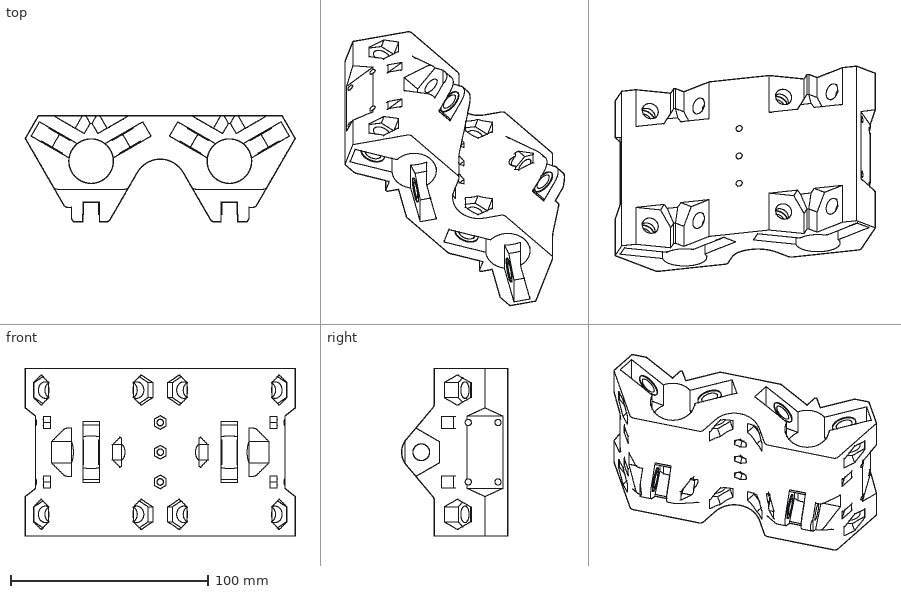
import cadquery as cq
import math


SIN30 = math.sin(math.radians(30))
COS30 = math.cos(math.radians(30))
TAN30 = math.tan(math.radians(30))

width = 137.0
height = 85.0
block_depth = 37.4
total_depth = 54.0
widest_y = -11.6
valley_top_y = -22.2
edge_radius = 2.5

rod_x = 35.0
rod_y = -23.1
rod_diameter = 22.5

pin_radius = 10.0
pin_y = pin_radius - total_depth
lug_root_z = 23.4
lug_root_radius = 3.0

bolt_diameter = 8.4
bolt_distance = 20.7
bolt_z = 31.5
bolt_seat = 10.4
bolt_hex_radius = 7.7
head_hex_radius = 10.7
bearing_hex_radius = 13.8
bearing_slot_width = 8.4
washer_diameter = 12.3
washer_height = 0.4
ridge_y = -4.0
ridge_half_width = 3.3
hex_seat_length = 16.5
lug_seat = 10.0
inner_hex_end_x = 19.6
lug_slot_half_height = 15.5

recess_depth = 5.2
recess_floor_half_height = 18.4
recess_rim_half_height = 22.5
screw_diameter = 3.2
screw_depth = 11.0
screw_z = 15.0
screw_ys = (-5.0, -20.1)
nut_flats = 6.0
nut_radius = nut_flats / 2 / COS30
nut_thickness = 3.5
nut_trap_x = 57.5

reach = 82.2
tolerance = 0.001


def hexagon(radius, center_across=0.0, center_up=0.0):
    """Corners of a hexagon with one corner straight up."""
    angles = [math.radians(30 + 60 * i) for i in range(6)]
    return [(center_across + radius * math.cos(a), center_up + radius * math.sin(a)) for a in angles]


def prism_x(points, x_start, x_end):
    """Prism along X over a (Y, Z) outline."""
    plane = cq.Workplane("YZ", origin=(x_start, 0, 0))
    return plane.polyline(points).close().extrude(x_end - x_start)



half_width = width / 2
front_outer_x = half_width - (block_depth + widest_y) * TAN30
front_half_width = front_outer_x - rod_x
front_inner_x = rod_x - front_half_width
lug_run = (total_depth - block_depth) * TAN30


def plan_outline():
    """Plan prism: 30-degree flanks run on past the block to the lug tips."""
    valley_radius = (COS30 * front_inner_x - SIN30 * (block_depth + valley_top_y)) / (1 - SIN30)
    tangent_x = valley_radius * COS30
    tangent_y = valley_top_y - valley_radius * (1 - SIN30)
    back_x = half_width + widest_y * TAN30
    tip_outer_x = front_outer_x - lug_run
    tip_inner_x = front_inner_x + lug_run
    return (
        cq.Workplane("XY", origin=(0, 0, -height / 2))
        .moveTo(-back_x, 0)
        .lineTo(-half_width, widest_y)
        .lineTo(-tip_outer_x, -total_depth)
        .lineTo(-tip_inner_x, -total_depth)
        .lineTo(-tangent_x, tangent_y)
        .threePointArc((0, valley_top_y), (tangent_x, tangent_y))
        .lineTo(tip_inner_x, -total_depth)
        .lineTo(tip_outer_x, -total_depth)
        .lineTo(half_width, widest_y)
        .lineTo(back_x, 0)
        .close()
        .extrude(height)
    )


def side_profile():
    """Side prism: block front, ramps and the rounded lug tip, with blended ramp roots."""
    root_offset = pin_y + block_depth
    root_angle = math.atan2(lug_root_z, -root_offset)
    root_distance = math.hypot(root_offset, lug_root_z)
    tangent_angle = root_angle + math.acos(pin_radius / root_distance)
    tangent_y = pin_y + pin_radius * math.cos(tangent_angle)
    tangent_z = pin_radius * math.sin(tangent_angle)
    profile = (
        cq.Workplane("YZ", origin=(-half_width, 0, 0))
        .moveTo(0, -height / 2)
        .lineTo(-block_depth, -height / 2)
        .lineTo(-block_depth, -lug_root_z)
        .lineTo(tangent_y, -tangent_z)
        .threePointArc((-total_depth, 0), (tangent_y, tangent_z))
        .lineTo(-block_depth, lug_root_z)
        .lineTo(-block_depth, height / 2)
        .lineTo(0, height / 2)
        .close()
        .extrude(width)
    )
    for side in (-1, 1):
        root = cq.selectors.NearestToPointSelector((0, -block_depth, side * lug_root_z))
        profile = profile.edges(root).fillet(lug_root_radius)
    return profile


def is_rounded_edge(edge):
    """True where a slanted flank meets the front, but not around an outer lug pocket and its tip."""
    middle = edge.positionAt(0.5)
    past_block = -block_depth - middle.y
    if past_block < -tolerance or abs(middle.z) > height / 2 - tolerance:
        return False
    flank_offset = front_half_width - past_block * TAN30
    outward = abs(middle.x) - rod_x
    beside_pocket = outward > 0 and abs(middle.z) < pin_radius
    return abs(abs(outward) - flank_offset) < tolerance and not beside_pocket


def rounded_body():
    """Block and lugs with rounded front edges; the outer pockets interrupt the rounding."""
    pocket = outer_lug_pocket()
    body = plan_outline().intersect(side_profile()).cut(pocket).cut(pocket.mirror("YZ"))
    rounded_edges = [edge for edge in body.edges().vals() if is_rounded_edge(edge)]
    return body.newObject(rounded_edges).fillet(edge_radius)




def bolt_plane(along_bolt):
    """Workplane across the bolt, at a distance along it from the bearing slot's middle."""
    origin = (
        -rod_x - COS30 * bolt_distance + SIN30 * along_bolt,
        rod_y + SIN30 * bolt_distance + COS30 * along_bolt,
        bolt_z,
    )
    return cq.Workplane(cq.Plane(origin=origin, xDir=(-COS30, SIN30, 0), normal=(SIN30, COS30, 0)))


def clamp_bolt():
    """Bolt hole and the hexagonal seat in the slanted flank."""
    hole = bolt_plane(-bolt_seat).circle(bolt_diameter / 2).extrude(2 * bolt_seat)
    seat = bolt_plane(-bolt_seat).polyline(hexagon(bolt_hex_radius)).close().extrude(-hex_seat_length)
    return hole.union(seat)


def washer_rings(plane_at):
    """Raised rings on both walls of a bearing slot; plane_at gives a plane across the bolt."""
    half = bearing_slot_width / 2
    near = plane_at(-half).circle(washer_diameter / 2).circle(bolt_diameter / 2)
    far = plane_at(half).circle(washer_diameter / 2).circle(bolt_diameter / 2)
    return near.extrude(washer_height).union(far.extrude(-washer_height))


def bearing_slot():
    """Slot open to the end face, with a hexagonal floor and a washer ring on each wall."""
    half = bearing_slot_width / 2
    flat = bearing_hex_radius * COS30
    slot = bolt_plane(-half).polyline(hexagon(bearing_hex_radius)).close().extrude(bearing_slot_width)
    upper = bolt_plane(-half).center(0, reach / 2).rect(2 * flat, reach).extrude(bearing_slot_width)
    return slot.union(upper).cut(washer_rings(bolt_plane))


def head_pocket():
    """Pocket from the back to the bolt head, open to the end face, with a 60-degree bank."""
    floor = -head_hex_radius * COS30
    outline = [
        (-head_hex_radius, reach),
        (-head_hex_radius, 0),
        (-head_hex_radius / 2, floor),
        (bolt_distance, floor),
        (bolt_distance, reach),
    ]
    return bolt_plane(bolt_seat).polyline(outline).close().extrude(reach)


def ridge_trim():
    """Cut that ends the ridge between two head pockets short of the back face."""
    drop = -ridge_y / TAN30
    outline = [(ridge_y, reach), (ridge_y, bolt_z), (0, bolt_z - drop), (0, reach)]
    return prism_x(outline, -rod_x - ridge_half_width, -rod_x + ridge_half_width)




def lug_plane(along_pin):
    """Workplane across the pin, at a distance along it from the -X lug's middle."""
    return cq.Workplane("YZ", origin=(-rod_x + along_pin, pin_y, 0))


def lug_slot():
    """Slot through the lug into the rod bore, with a washer ring on each wall."""
    half = bearing_slot_width / 2
    slot = lug_plane(-half).polyline(hexagon(bearing_hex_radius)).close().extrude(bearing_slot_width)
    mouth = (
        lug_plane(-half)
        .center(-pin_radius, 0)
        .rect(2 * pin_radius, 2 * lug_slot_half_height)
        .extrude(bearing_slot_width)
    )
    return slot.union(mouth).cut(washer_rings(lug_plane))


def outer_lug_pocket():
    """Hexagonal seat on the outer side of the lug, its 30-degree walls running out of the front."""
    back = head_hex_radius * COS30
    half_flat = head_hex_radius / 2
    front_half = half_flat + (back + reach) * TAN30
    outline = [(back, half_flat), (-reach, front_half), (-reach, -front_half), (back, -half_flat)]
    return lug_plane(-lug_seat).polyline(outline).close().extrude(-reach)


def inner_lug_pocket():
    """Hexagonal nut pocket on the valley side of the lug."""
    length = rod_x - inner_hex_end_x - lug_seat
    return lug_plane(lug_seat).polyline(hexagon(bolt_hex_radius)).close().extrude(length)


def pin_hole():
    """Pin hole through the whole lug, out of both flanks."""
    return lug_plane(-rod_x).circle(bolt_diameter / 2).extrude(2 * rod_x)




def side_recess():
    """Recess across the side corner, with sloping ends."""
    floor_x = -half_width + recess_depth
    outline = [
        (-half_width, -recess_rim_half_height),
        (floor_x, -recess_floor_half_height),
        (floor_x, recess_floor_half_height),
        (-half_width, recess_rim_half_height),
    ]
    return cq.Workplane("XZ").polyline(outline).close().extrude(block_depth)


def side_screws():
    """Four screw holes in the recess floor."""
    points = [(y, side * screw_z) for y in screw_ys for side in (-1, 1)]
    plane = cq.Workplane("YZ", origin=(-half_width, 0, 0))
    return plane.pushPoints(points).circle(screw_diameter / 2).extrude(recess_depth + screw_depth)


def nut_trap(side):
    """Slot for a side screw's nut, pushed in from the flank; its end is a hexagon corner."""
    half = nut_flats / 2
    bottom_y = screw_ys[1]
    outline = [
        (bottom_y + nut_radius / 2, -half),
        (bottom_y + nut_radius, 0),
        (bottom_y + nut_radius / 2, half),
        (-block_depth, half),
        (-block_depth, -half),
    ]
    trap = prism_x(outline, -nut_trap_x - nut_thickness / 2, -nut_trap_x + nut_thickness / 2)
    return trap.translate((0, 0, side * screw_z))


def valley_screws():
    """Row of screw holes through the web, each with a hexagonal nut seat in the valley."""
    points = [(0, 0), (0, -screw_z), (0, screw_z)]
    cut = cq.Workplane("XZ").pushPoints(points).circle(screw_diameter / 2).extrude(block_depth)
    for x, z in points:
        seat = cq.Workplane("XZ", origin=(0, valley_top_y + nut_thickness, 0))
        seat = seat.polyline(hexagon(nut_radius, x, z)).close().extrude(block_depth)
        cut = cut.union(seat)
    return cut




def left_half_cuts():
    """Every cut around the -X rod."""
    rod_axis = (-rod_x, 0, 0)
    bore = cq.Workplane("XY", origin=(-rod_x, rod_y, -height / 2)).circle(rod_diameter / 2).extrude(height)
    cuts = [bore, lug_slot(), inner_lug_pocket(), pin_hole()]
    cuts += [side_recess(), side_screws(), nut_trap(-1), nut_trap(1)]
    for cutter in (clamp_bolt(), bearing_slot(), head_pocket(), ridge_trim()):
        for pair in (cutter, cutter.mirror("YZ", rod_axis)):
            cuts += [pair, pair.mirror("XY")]
    return cuts


result = rounded_body()
for cutter in left_half_cuts():
    result = result.cut(cutter).cut(cutter.mirror("YZ"))
result = result.cut(valley_screws())